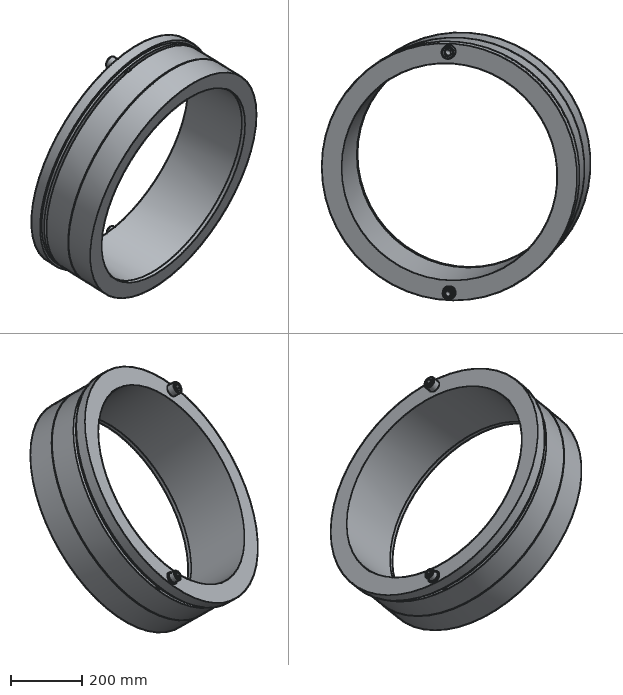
import cadquery as cq
import math


TOTAL_LENGTH = 236.0
FLANGE_FRONT = 24.0
FLANGE_BACK = 56.5
STEP_BACK = 65.5
FRONT_RING_START = 74.0
RING_GAP = 2.0
RING_LENGTH = (TOTAL_LENGTH - FRONT_RING_START - RING_GAP) / 2
FRONT_RING_END = FRONT_RING_START + RING_LENGTH
BACK_RING_START = FRONT_RING_END + RING_GAP
LIP_LENGTH = 12.0
SLEEVE_END = TOTAL_LENGTH - LIP_LENGTH

FLANGE_DIAMETER = 735.0
RING_DIAMETER = 720.0
SLEEVE_DIAMETER = 636.5
BORE_DIAMETER = 620.0

SCREW_CIRCLE_RADIUS = 345.0
LARGE_SHANK_DIAMETER = 24.0
LARGE_HEAD_DIAMETER = 36.0
LARGE_SOCKET_FLATS = 19.0
SMALL_SHANK_DIAMETER = 20.0
SMALL_HEAD_DIAMETER = 30.0
SMALL_SOCKET_FLATS = 17.0
HEAD_CHAMFER = 2.0
SOCKET_DEPTH_RATIO = 0.5
SOCKET_CONE_ANGLE = 120.0

WASHER_DIAMETER = 37.0
WASHER_BORE = 21.0
WASHER_THICKNESS = 4.5
WASHER_FRONT = FLANGE_FRONT - WASHER_THICKNESS


def cylinder(start, end, diameter, height=0.0):
    """Solid cylinder along X from start to end, its axis at z = height."""
    return (
        cq.Workplane("YZ", origin=(start, 0, height))
        .circle(diameter / 2)
        .extrude(end - start)
    )


def tube(start, end, outer_diameter, inner_diameter, height=0.0):
    """Hollow cylinder along X."""
    outer = cylinder(start, end, outer_diameter, height)
    return outer.cut(cylinder(start, end, inner_diameter, height))


def cut_screw_holes(body, start, end):
    """Cut the holes for both screw shanks between start and end."""
    body = body.cut(cylinder(start, end, LARGE_SHANK_DIAMETER, SCREW_CIRCLE_RADIUS))
    return body.cut(cylinder(start, end, SMALL_SHANK_DIAMETER, -SCREW_CIRCLE_RADIUS))


def make_flanged_sleeve():
    """Flange with a stepped back and a long thin sleeve."""
    outer = (
        cylinder(FLANGE_FRONT, FLANGE_BACK, FLANGE_DIAMETER)
        .union(cylinder(FLANGE_BACK, STEP_BACK, RING_DIAMETER))
        .union(cylinder(STEP_BACK, SLEEVE_END, SLEEVE_DIAMETER))
    )
    sleeve = outer.cut(cylinder(FLANGE_FRONT, SLEEVE_END, BORE_DIAMETER))
    return cut_screw_holes(sleeve, FLANGE_FRONT, STEP_BACK)


def make_front_ring():
    """Ring around the sleeve that receives the screws."""
    ring = tube(FRONT_RING_START, FRONT_RING_END, RING_DIAMETER, SLEEVE_DIAMETER)
    return cut_screw_holes(ring, FRONT_RING_START, FRONT_RING_END)


def make_back_ring():
    """Ring around the sleeve with an inner lip that covers the sleeve end."""
    ring = tube(BACK_RING_START, SLEEVE_END, RING_DIAMETER, SLEEVE_DIAMETER)
    return ring.union(tube(SLEEVE_END, TOTAL_LENGTH, RING_DIAMETER, BORE_DIAMETER))


def make_screw(seat, shank_diameter, head_diameter, socket_flats, height):
    """Socket head screw from x = 0 whose head rests on the plane x = seat."""
    head = cylinder(0, seat, head_diameter, height).faces("<X").chamfer(HEAD_CHAMFER)
    screw = head.union(cylinder(seat, FRONT_RING_END, shank_diameter, height))

    socket_floor = SOCKET_DEPTH_RATIO * seat
    socket = (
        cq.Workplane("YZ", origin=(0, 0, height))
        .transformed(rotate=(0, 0, 90))
        .polygon(6, socket_flats / math.cos(math.pi / 6))
        .extrude(socket_floor)
    )

    cone_radius = socket_flats / 2
    cone_depth = cone_radius / math.tan(math.radians(SOCKET_CONE_ANGLE / 2))
    cone = cq.Workplane(
        cq.Solid.makeCone(
            cone_radius, 0, cone_depth, cq.Vector(socket_floor, 0, height), cq.Vector(1, 0, 0)
        )
    )
    return screw.cut(socket).cut(cone)


def make_washer():
    """Washer between the small screw head and the flange."""
    return tube(WASHER_FRONT, FLANGE_FRONT, WASHER_DIAMETER, WASHER_BORE, -SCREW_CIRCLE_RADIUS)


flanged_sleeve = make_flanged_sleeve()
front_ring = make_front_ring()
back_ring = make_back_ring()
washer = make_washer()

large_screw = make_screw(
    FLANGE_FRONT, LARGE_SHANK_DIAMETER, LARGE_HEAD_DIAMETER, LARGE_SOCKET_FLATS, SCREW_CIRCLE_RADIUS
)
small_screw = make_screw(
    WASHER_FRONT, SMALL_SHANK_DIAMETER, SMALL_HEAD_DIAMETER, SMALL_SOCKET_FLATS, -SCREW_CIRCLE_RADIUS
)

result = cq.Compound.makeCompound(
    [
        flanged_sleeve.val(),
        front_ring.val(),
        back_ring.val(),
        washer.val(),
        large_screw.val(),
        small_screw.val(),
    ]
)